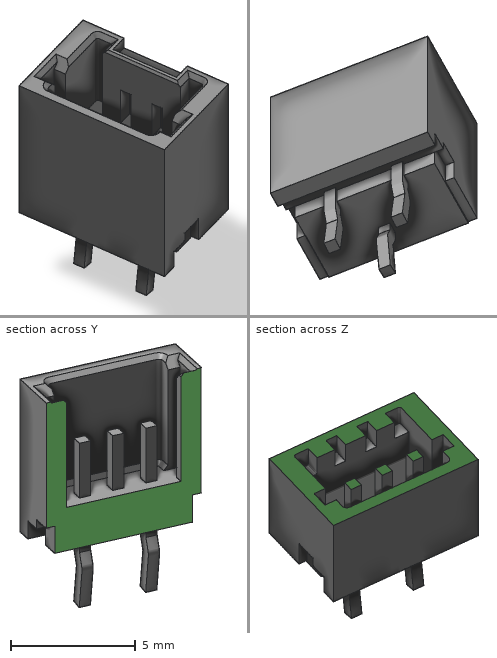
import cadquery as cq
import math

WIDTH = 7.0
DEPTH = 4.7
TOTAL_HEIGHT = 9.9
HOUSING_HEIGHT = 6.91
LEG_DROP = TOTAL_HEIGHT - HOUSING_HEIGHT

CAVITY_HALF_WIDTH = 2.56
CAVITY_FRONT = -1.79
CAVITY_REAR = 1.95
FLOOR_Z = 1.98
FRONT_CORNER_RADIUS = 0.21
REAR_CORNER_RADIUS = 0.1
LEAD_IN = 0.2
FLOOR_CHAMFER = 0.2

WALL_HALF_WIDTH = 1.87
WALL_FRONT = 1.31
WALL_FRONT_LEAD_IN = 0.1
SHELF_Z = HOUSING_HEIGHT - 3.56
WALL_FOOT_RADIUS = 0.1
FOOT_MARGIN = 0.05
WINDOW_TOP_Z = HOUSING_HEIGHT - 1.78

LATCH_HALF_WIDTH = 1.52
LATCH_RIDGE_Y = 1.54
LATCH_LEDGE_Y = 1.86
LATCH_DEPTH = 0.53

KEY_FRONT = -1.14
KEY_REAR = -0.37
KEY_HALF_WIDTH = 3.11
KEY_SIDE_LEAD_IN = 0.19
KEY_END_LEAD_IN = 0.42

SLOT_FRONT = -1.64
SLOT_REAR = -0.85
SLOT_HEIGHT = 0.81
SIDE_RECESS_REAR = 0.17
SIDE_RECESS_HEIGHT = 1.23
SIDE_RECESS_DEPTH = 0.4
SIDE_RELIEF_HEIGHT = 0.1

PITCH = 1.49
PIN_SIZE = 0.5
PIN_TOP_Z = 4.455
FRONT_ROW_Y = -0.74
REAR_ROW_Y = 1.26
FIRST_BEND_DROP = 0.49
SECOND_BEND_DROP = 1.19
FIRST_BEND_ANGLE = math.radians(20)
RETURN_ANGLE = math.radians(8)


def box(x_range, y_range, z_range):
    """Box between two limits along each axis."""
    spans = [high - low for low, high in (x_range, y_range, z_range)]
    corner = (x_range[0], y_range[0], z_range[0])
    return cq.Workplane("XY").box(*spans, centered=False).translate(corner)


def profile_along_x(points, half_width):
    """Closed Y-Z profile extruded symmetrically about X = 0."""
    return cq.Workplane("YZ").polyline(points).close().extrude(half_width, both=True)


def profile_along_y(points, half_length):
    """Closed X-Z profile extruded symmetrically about Y = 0."""
    return cq.Workplane("XZ").polyline(points).close().extrude(half_length, both=True)


def make_shell():
    """Open-topped box with a rounded, lead-in chamfered cavity."""
    cavity_x = (-CAVITY_HALF_WIDTH, CAVITY_HALF_WIDTH)
    cavity_z = (FLOOR_Z, HOUSING_HEIGHT)
    rear = box(cavity_x, (KEY_FRONT, CAVITY_REAR), cavity_z)
    rear = rear.edges("|Z and >Y").fillet(REAR_CORNER_RADIUS)
    front = box(cavity_x, (CAVITY_FRONT, KEY_FRONT), cavity_z)
    front = front.edges("|Z and <Y").fillet(FRONT_CORNER_RADIUS)
    front = front.faces("<Z").edges("not >Y").chamfer(FLOOR_CHAMFER)

    shell = box((-WIDTH / 2, WIDTH / 2), (-DEPTH / 2, DEPTH / 2), (0, HOUSING_HEIGHT))
    shell = shell.cut(front).cut(rear)
    rim = shell.faces(">Z").val().innerWires()
    return shell.newObject(rim).edges().chamfer(LEAD_IN)


def make_latch_wall():
    """Wall across the rear of the cavity, its crest chamfered on the sides and, more lightly, in front."""
    back_y = (CAVITY_REAR + DEPTH / 2) / 2
    shoulder_z = HOUSING_HEIGHT - LEAD_IN
    front_outline = [
        (-WALL_HALF_WIDTH, FLOOR_Z),
        (WALL_HALF_WIDTH, FLOOR_Z),
        (WALL_HALF_WIDTH, shoulder_z),
        (WALL_HALF_WIDTH - LEAD_IN, HOUSING_HEIGHT),
        (LEAD_IN - WALL_HALF_WIDTH, HOUSING_HEIGHT),
        (-WALL_HALF_WIDTH, shoulder_z),
    ]
    side_outline = [
        (WALL_FRONT, FLOOR_Z),
        (back_y, FLOOR_Z),
        (back_y, HOUSING_HEIGHT),
        (WALL_FRONT + WALL_FRONT_LEAD_IN, HOUSING_HEIGHT),
        (WALL_FRONT, HOUSING_HEIGHT - WALL_FRONT_LEAD_IN),
    ]
    wall = profile_along_y(front_outline, DEPTH / 2)
    return wall.intersect(profile_along_x(side_outline, WALL_HALF_WIDTH))


def round_wall_feet(housing):
    """Fillet the wall into the cavity floor in front and into the shelf on both sides."""
    feet = cq.selectors.BoxSelector(
        (-CAVITY_HALF_WIDTH, WALL_FRONT - FOOT_MARGIN, FLOOR_Z - FOOT_MARGIN),
        (CAVITY_HALF_WIDTH, WALL_FRONT + FOOT_MARGIN, FLOOR_Z + FOOT_MARGIN),
    )
    for side in (-1, 1):
        feet = feet + cq.selectors.BoxSelector(
            (side * WALL_HALF_WIDTH - FOOT_MARGIN, WALL_FRONT + FOOT_MARGIN, SHELF_Z - FOOT_MARGIN),
            (side * WALL_HALF_WIDTH + FOOT_MARGIN, CAVITY_REAR, SHELF_Z + FOOT_MARGIN),
        )
    return housing.edges(feet).fillet(WALL_FOOT_RADIUS)


def make_windows():
    """Two blind windows in the front of the latch wall, midway between the contacts."""
    window = box(
        (-PIN_SIZE / 2, PIN_SIZE / 2), (WALL_FRONT, CAVITY_REAR), (SHELF_Z, WINDOW_TOP_Z)
    )
    return window.translate((-PITCH / 2, 0, 0)).union(window.translate((PITCH / 2, 0, 0)))


def make_latch_recess():
    """Ledge cut into the top of the rear face, sloping up to a narrow ridge."""
    ledge_z = HOUSING_HEIGHT - LATCH_DEPTH
    outline = [
        (LATCH_RIDGE_Y, HOUSING_HEIGHT),
        (LATCH_LEDGE_Y, ledge_z),
        (DEPTH / 2, ledge_z),
        (DEPTH / 2, HOUSING_HEIGHT),
    ]
    return profile_along_x(outline, LATCH_HALF_WIDTH)


def flared_outline(low, high, flare):
    """Slot outline from the floor up, widening at 45 degrees towards the rim."""
    return [
        (low, FLOOR_Z),
        (high, FLOOR_Z),
        (high, HOUSING_HEIGHT - flare),
        (high + flare, HOUSING_HEIGHT),
        (low - flare, HOUSING_HEIGHT),
        (low, HOUSING_HEIGHT - flare),
    ]


def make_keyways():
    """Slot across the cavity that cuts a flared keyway into each side wall."""
    across = flared_outline(-KEY_HALF_WIDTH, KEY_HALF_WIDTH, KEY_SIDE_LEAD_IN)
    along = flared_outline(KEY_FRONT, KEY_REAR, KEY_END_LEAD_IN)
    return profile_along_y(across, DEPTH / 2).intersect(profile_along_x(along, WIDTH / 2))


def cut_underside(housing):
    """Cut the cross slot, side recesses and the shallow relief behind them."""
    housing = housing.cut(box((-WIDTH / 2, WIDTH / 2), (SLOT_FRONT, SLOT_REAR), (0, SLOT_HEIGHT)))
    recess_inner = WIDTH / 2 - SIDE_RECESS_DEPTH
    for side_x in ((-WIDTH / 2, -recess_inner), (recess_inner, WIDTH / 2)):
        housing = housing.cut(box(side_x, (SLOT_REAR, SIDE_RECESS_REAR), (0, SIDE_RECESS_HEIGHT)))
        housing = housing.cut(box(side_x, (SIDE_RECESS_REAR, DEPTH / 2), (0, SIDE_RELIEF_HEIGHT)))
    return housing


def make_leg():
    """Kinked solder leg along Z with its straight part centered on Y = 0, kinked towards +Y.

    Both bends turn about a sharp inner corner and are round on the outside.
    """

    def bend_point(pivot, angle, side):
        """Point one leg thickness from the pivot, square to a leg leaning by angle."""
        y = pivot[0] + side * PIN_SIZE * math.cos(angle)
        z = pivot[1] + side * PIN_SIZE * math.sin(angle)
        return (y, z)

    first_pivot = (PIN_SIZE / 2, -FIRST_BEND_DROP)
    first_start = bend_point(first_pivot, 0, -1)
    first_middle = bend_point(first_pivot, FIRST_BEND_ANGLE / 2, -1)
    first_end = bend_point(first_pivot, FIRST_BEND_ANGLE, -1)

    slant_drop = first_end[1] + SECOND_BEND_DROP
    second_pivot = (first_end[0] + slant_drop * math.tan(FIRST_BEND_ANGLE), -SECOND_BEND_DROP)
    second_start = bend_point(second_pivot, FIRST_BEND_ANGLE, 1)
    second_middle = bend_point(second_pivot, (FIRST_BEND_ANGLE - RETURN_ANGLE) / 2, 1)
    second_end = bend_point(second_pivot, -RETURN_ANGLE, 1)

    tip_drop = LEG_DROP + second_end[1]
    tip_inner = (second_end[0] - tip_drop * math.tan(RETURN_ANGLE), -LEG_DROP)
    tip_outer = bend_point(tip_inner, -RETURN_ANGLE, -1)

    return (
        cq.Workplane("YZ")
        .moveTo(-PIN_SIZE / 2, FLOOR_Z)
        .lineTo(*first_start)
        .threePointArc(first_middle, first_end)
        .lineTo(*second_pivot)
        .lineTo(*tip_outer)
        .lineTo(*tip_inner)
        .lineTo(*second_end)
        .threePointArc(second_middle, second_start)
        .lineTo(*first_pivot)
        .lineTo(PIN_SIZE / 2, FLOOR_Z)
        .close()
        .extrude(PIN_SIZE / 2, both=True)
    )


housing = make_shell()
housing = housing.union(box(
    (-CAVITY_HALF_WIDTH - LEAD_IN, CAVITY_HALF_WIDTH + LEAD_IN),
    (WALL_FRONT, CAVITY_REAR + LEAD_IN),
    (FLOOR_Z, SHELF_Z),
))
housing = housing.union(make_latch_wall())
housing = round_wall_feet(housing)
housing = housing.cut(make_windows()).cut(make_latch_recess()).cut(make_keyways())
housing = cut_underside(housing)

half_pin = PIN_SIZE / 2
front_leg = make_leg().translate((0, FRONT_ROW_Y, 0))
rear_leg = make_leg().mirror("XZ").translate((0, REAR_ROW_Y, 0))
pin = box(
    (-half_pin, half_pin),
    (FRONT_ROW_Y - half_pin, FRONT_ROW_Y + half_pin),
    (FLOOR_Z - PIN_SIZE, PIN_TOP_Z),
)
result = housing
for position, leg in ((-PITCH, front_leg), (0, rear_leg), (PITCH, front_leg)):
    result = result.union(pin.union(leg).translate((position, 0, 0)))